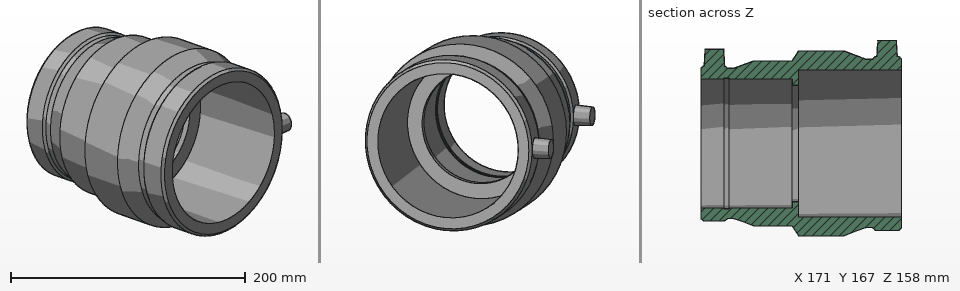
import cadquery as cq

LENGTH = 171.0

SMALL_SOCKET_D = 110.0
SMALL_COLLAR_D = 132.54
SMALL_GROOVE_D = 128.56
SMALL_BARREL_D = 141.0
SMALL_CHAMFER_LENGTH = 2.3
SMALL_COLLAR_LENGTH = 22.6
SMALL_GROOVE_LENGTH = 5.5
SMALL_CONE_LENGTH = 17.0
SMALL_BARREL_END_X = 77.7

LARGE_SOCKET_D = 125.0
LARGE_COLLAR_D = 148.52
LARGE_GROOVE_D = 144.06
LARGE_BARREL_D = 158.0
LARGE_CHAMFER_LENGTH = 2.2
LARGE_COLLAR_LENGTH = 24.7
LARGE_GROOVE_LENGTH = 6.1
LARGE_CONE_LENGTH = 18.3
LARGE_BARREL_START_X = 83.2

STOP_RING_D = 99.0

SOCKET_GROOVE_D = 111.0
SOCKET_GROOVE_START_X = 19.6
SOCKET_GROOVE_WIDTH = 4.5

POST_TOP_D = 16.0
POST_BASE_D = 18.0
SMALL_POST_X = 11.5
LARGE_POST_X = 158.6
SMALL_POST_TOP_Y = 80.4
LARGE_POST_TOP_Y = 88.0
POST_EMBED = 3.0


def revolve_about_x(outline):
    """Revolve a list of (x, diameter) points about the X axis."""
    points = [(x, diameter / 2) for x, diameter in outline]
    return cq.Workplane("XY").polyline(points).close().revolve(360, (0, 0, 0), (1, 0, 0))


def make_body():
    small_groove_end = SMALL_COLLAR_LENGTH + SMALL_GROOVE_LENGTH
    large_collar_start = LENGTH - LARGE_COLLAR_LENGTH
    large_groove_start = large_collar_start - LARGE_GROOVE_LENGTH
    outside = [
        (0, SMALL_GROOVE_D),
        (SMALL_CHAMFER_LENGTH, SMALL_COLLAR_D),
        (SMALL_COLLAR_LENGTH - SMALL_CHAMFER_LENGTH, SMALL_COLLAR_D),
        (SMALL_COLLAR_LENGTH, SMALL_GROOVE_D),
        (small_groove_end, SMALL_GROOVE_D),
        (small_groove_end + SMALL_CONE_LENGTH, SMALL_BARREL_D),
        (SMALL_BARREL_END_X, SMALL_BARREL_D),
        (LARGE_BARREL_START_X, LARGE_BARREL_D),
        (large_groove_start - LARGE_CONE_LENGTH, LARGE_BARREL_D),
        (large_groove_start, LARGE_GROOVE_D),
        (large_collar_start, LARGE_GROOVE_D),
        (large_collar_start + LARGE_CHAMFER_LENGTH, LARGE_COLLAR_D),
        (LENGTH - LARGE_CHAMFER_LENGTH, LARGE_COLLAR_D),
        (LENGTH, LARGE_GROOVE_D),
    ]
    socket_groove_end = SOCKET_GROOVE_START_X + SOCKET_GROOVE_WIDTH
    inside = [
        (LENGTH, LARGE_SOCKET_D),
        (LARGE_BARREL_START_X, LARGE_SOCKET_D),
        (LARGE_BARREL_START_X, STOP_RING_D),
        (SMALL_BARREL_END_X, STOP_RING_D),
        (SMALL_BARREL_END_X, SMALL_SOCKET_D),
        (socket_groove_end, SMALL_SOCKET_D),
        (socket_groove_end, SOCKET_GROOVE_D),
        (SOCKET_GROOVE_START_X, SOCKET_GROOVE_D),
        (SOCKET_GROOVE_START_X, SMALL_SOCKET_D),
        (0, SMALL_SOCKET_D),
    ]
    return revolve_about_x(outside + inside)


def make_post(x, collar_d, top_y):
    """Tapered post rooted inside the collar wall, with its tip at top_y."""
    base_y = collar_d / 2 - POST_EMBED
    return (
        cq.Workplane("XZ", origin=(x, base_y, 0))
        .circle(POST_BASE_D / 2)
        .workplane(offset=base_y - top_y)
        .circle(POST_TOP_D / 2)
        .loft(ruled=True)
    )


small_post = make_post(SMALL_POST_X, SMALL_COLLAR_D, SMALL_POST_TOP_Y)
large_post = make_post(LARGE_POST_X, LARGE_COLLAR_D, LARGE_POST_TOP_Y)
result = make_body().union(small_post).union(large_post)